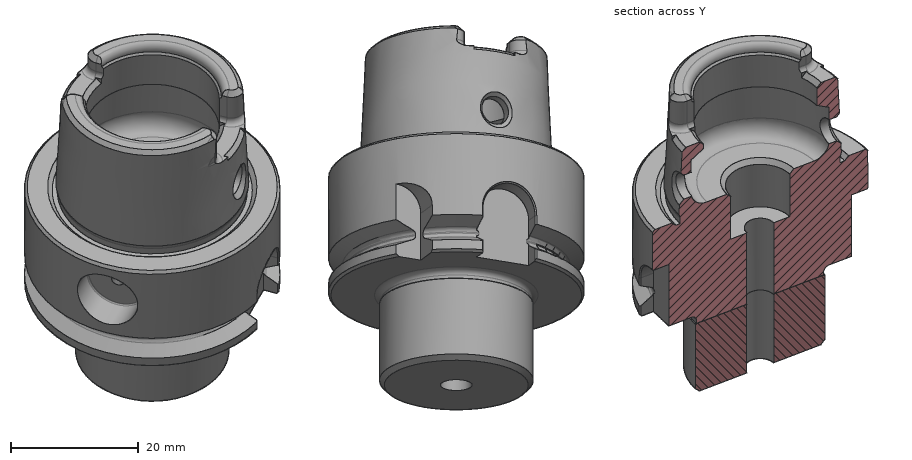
import cadquery as cq
import math

total_height = 54.9
neck_bottom_z = 13.4
flange_bottom_z = 15.0
flange_top_z = 34.95
taper_start_z = 36.05
bore_floor_z = 36.5
lip_bottom_z = 47.1
tube_seat_z = 27.45

shank_radius = 12.0
shank_chamfer = 0.75
coolant_radius = 2.45

flange_radius = 20.0
flange_top_chamfer = 0.45
flange_bottom_chamfer = 0.4
neck_radius = 11.8
neck_fillet = 1.0

groove_z = 19.0
groove_width = 4.15
groove_flank_angle = math.radians(30)
groove_radius = 17.4
groove_fillet = 0.9

relief_outer_radius = 16.35
relief_bevel = 0.7
relief_inner_radius = 14.9
relief_top_z = 35.35

taper_base_radius = 15.1
taper_tip_radius = 14.2
rim_chamfer_height = 0.6
rim_outer_radius = 13.5
rim_inner_radius = 12.1

mouth_fillet = 1.25
mouth_chamfer = 0.35
lip_radius = rim_inner_radius - mouth_fillet - mouth_chamfer
clamp_radius = 12.75
clamp_shoulder_angle = math.radians(30)
clamp_shoulder_height = (clamp_radius - lip_radius) * math.tan(clamp_shoulder_angle)
bore_floor_fillet = 2.8
tube_seat_radius = 5.45
tube_seat_chamfer = 0.75

drive_half_width = 4.0
drive_flat_x = 12.95
drive_flat_y = 6.25
drive_back_x = 11.15
drive_back_y = 9.9
drive_corner_radius = 2.0
drive_fillet = 1.0
drive_top_chamfer = 0.8
drive_outer_radius = 13.85
drive_bevel_half_width = 3.5
drive_inner_radius = 11.25
drive_floors = {-1: 51.35, 1: 48.75}

cross_hole_z = 41.05
cross_hole_radius = 2.3
countersink_radius = 2.95
countersink_x = 14.8

slot_half_width = 4.5
slot_top_z = 27.0
slot_floor_x = 16.9
slot_edge_chamfer = 0.2
notch_radius = 4.2
notch_center_y = 16.05
notch_floor_x = 11.9

chip_z = 28.0
chip_radius = 5.05
chip_depth = 5.0
chip_fillet = 0.2
dimple_radius = 1.05
dimple_half_angle = math.radians(59)
dimple_depth = dimple_radius / math.tan(dimple_half_angle)

clearance = 2.75


def revolve_profile(profile):
    """Turn a closed radius/height outline about the Z axis."""
    return profile.close().revolve(360, (0, 0, 0), (0, 1, 0))


def outer_form():
    """Solid of revolution bounded by the outer contour of the holder."""
    groove_depth = flange_radius - groove_radius
    half_root = groove_width / 2 - groove_depth * math.tan(groove_flank_angle)
    tangent = groove_fillet * math.tan((math.pi / 2 - groove_flank_angle) / 2)
    flank_radius = groove_radius + tangent * math.cos(groove_flank_angle)
    flank_half = half_root + tangent * math.sin(groove_flank_angle)
    return revolve_profile(
        cq.Workplane("XZ")
        .moveTo(0, neck_bottom_z)
        .lineTo(neck_radius, neck_bottom_z)
        .lineTo(neck_radius, flange_bottom_z - neck_fillet)
        .radiusArc((neck_radius + neck_fillet, flange_bottom_z), neck_fillet)
        .lineTo(flange_radius - flange_bottom_chamfer, flange_bottom_z)
        .lineTo(flange_radius, flange_bottom_z + flange_bottom_chamfer)
        .lineTo(flange_radius, groove_z - groove_width / 2)
        .lineTo(flank_radius, groove_z - flank_half)
        .radiusArc((groove_radius, groove_z - half_root + tangent), groove_fillet)
        .lineTo(groove_radius, groove_z + half_root - tangent)
        .radiusArc((flank_radius, groove_z + flank_half), groove_fillet)
        .lineTo(flange_radius, groove_z + groove_width / 2)
        .lineTo(flange_radius, flange_top_z - flange_top_chamfer)
        .lineTo(flange_radius - flange_top_chamfer, flange_top_z)
        .lineTo(relief_outer_radius, flange_top_z)
        .lineTo(relief_outer_radius - relief_bevel, flange_top_z - relief_bevel)
        .lineTo(relief_inner_radius, flange_top_z - relief_bevel)
        .lineTo(relief_inner_radius, relief_top_z)
        .lineTo(taper_base_radius, taper_start_z)
        .lineTo(taper_tip_radius, total_height - rim_chamfer_height)
        .lineTo(rim_outer_radius, total_height)
        .lineTo(0, total_height)
    )


def bore_form():
    """Solid of revolution that hollows the holder."""
    return revolve_profile(
        cq.Workplane("XZ")
        .moveTo(0, neck_bottom_z - clearance)
        .lineTo(coolant_radius, neck_bottom_z - clearance)
        .lineTo(coolant_radius, tube_seat_z)
        .lineTo(tube_seat_radius, tube_seat_z)
        .lineTo(tube_seat_radius, bore_floor_z - tube_seat_chamfer)
        .lineTo(tube_seat_radius + tube_seat_chamfer, bore_floor_z)
        .lineTo(clamp_radius - bore_floor_fillet, bore_floor_z)
        .radiusArc((clamp_radius, bore_floor_z + bore_floor_fillet), -bore_floor_fillet)
        .lineTo(clamp_radius, lip_bottom_z - clamp_shoulder_height)
        .lineTo(lip_radius, lip_bottom_z)
        .lineTo(lip_radius, total_height - mouth_fillet - mouth_chamfer)
        .lineTo(lip_radius + mouth_chamfer, total_height - mouth_fillet)
        .radiusArc((rim_inner_radius, total_height), mouth_fillet)
        .lineTo(rim_inner_radius, total_height + clearance)
        .lineTo(0, total_height + clearance)
    )


def drive_plan(z):
    """Plan outline of the +X drive slot: a channel that opens out past the lobe flats."""
    inner_x = lip_radius / 2
    outer_x = taper_base_radius + clearance
    corner_x = drive_flat_x - drive_corner_radius
    corner_y = drive_half_width + drive_corner_radius
    return (
        cq.Workplane("XY", origin=(0, 0, z))
        .moveTo(inner_x, -drive_half_width)
        .lineTo(corner_x, -drive_half_width)
        .radiusArc((drive_flat_x, -corner_y), drive_corner_radius)
        .lineTo(drive_flat_x, -drive_flat_y)
        .lineTo(drive_back_x, -drive_back_y)
        .lineTo(outer_x, -drive_back_y)
        .lineTo(outer_x, drive_back_y)
        .lineTo(drive_back_x, drive_back_y)
        .lineTo(drive_flat_x, drive_flat_y)
        .lineTo(drive_flat_x, corner_y)
        .radiusArc((corner_x, drive_half_width), drive_corner_radius)
        .lineTo(inner_x, drive_half_width)
        .close()
    )


def drive_floor_bevels(floor_z):
    """Cutting rings that bevel the inner and outer edges of the +X slot floor."""
    bevel = (
        cq.Workplane("XZ")
        .moveTo(drive_inner_radius, floor_z)
        .lineTo(drive_inner_radius - clearance, floor_z - clearance)
        .lineTo(drive_inner_radius - clearance, floor_z + drive_fillet)
        .lineTo(drive_inner_radius + drive_fillet, floor_z + drive_fillet)
        .close()
        .moveTo(drive_outer_radius, floor_z)
        .lineTo(drive_outer_radius + clearance, floor_z - clearance)
        .lineTo(drive_outer_radius + clearance, floor_z + drive_fillet)
        .lineTo(drive_outer_radius - drive_fillet, floor_z + drive_fillet)
        .close()
        .revolve(360, (0, 0, 0), (0, 1, 0))
    )
    channel = cq.Workplane("XY").box(
        2 * taper_base_radius, 2 * drive_bevel_half_width, 2 * total_height, centered=(False, True, True)
    )
    return bevel.intersect(channel)


def cut_drive_slot(body, side, floor_z):
    """Cut one drive slot into the taper end, on the +X or -X side."""
    chamfer_z = total_height - drive_top_chamfer
    channel = drive_plan(floor_z).extrude(total_height + clearance - floor_z)
    channel = channel.faces("<Z").edges().fillet(drive_fillet)
    flare = drive_plan(chamfer_z).extrude(2 * drive_top_chamfer, taper=-45)
    turn = 0 if side > 0 else 180
    for cutter in (channel, drive_floor_bevels(floor_z), flare):
        body = body.cut(cutter.rotate((0, 0, 0), (0, 0, 1), turn))
    return body


def cross_hole():
    """Hole along X through both taper walls, countersunk at both ends."""
    depth = countersink_radius - cross_hole_radius
    mouth = countersink_radius + clearance
    half = (
        cq.Workplane("XY")
        .moveTo(0, 0)
        .lineTo(0, cross_hole_radius)
        .lineTo(countersink_x - depth, cross_hole_radius)
        .lineTo(countersink_x + clearance, mouth)
        .lineTo(countersink_x + clearance, 0)
        .close()
        .revolve(360, (0, 0, 0), (1, 0, 0))
    )
    return half.union(half.mirror("YZ")).translate((0, 0, cross_hole_z))


def round_top_slot(center_y, half_width, top_z, floor_x):
    """Slot cut from the +X side, open at the bottom and round at the top."""
    depth = flange_radius + clearance - floor_x
    bottom_z = flange_bottom_z
    arc_z = top_z - half_width
    return (
        cq.Workplane("YZ", origin=(floor_x, 0, 0))
        .moveTo(center_y - half_width, bottom_z)
        .lineTo(center_y - half_width, arc_z)
        .threePointArc((center_y, top_z), (center_y + half_width, arc_z))
        .lineTo(center_y + half_width, bottom_z)
        .close()
        .extrude(depth)
    )


def break_slot_edges(body):
    """Chamfer the flange slots where they meet the flange cylinder."""
    edge_x = math.sqrt(flange_radius**2 - slot_half_width**2)
    inset = 0.1
    for side in (-1, 1):
        rim_zone = cq.selectors.BoxSelector(
            (side * (edge_x - inset), -slot_half_width - inset, flange_bottom_z),
            (side * (flange_radius + inset), slot_half_width + inset, slot_top_z + inset),
        )
        body = body.edges(rim_zone).chamfer(slot_edge_chamfer)
    return body


def chip_hole():
    """Flat-bottomed hole from the -Y side with a conical dimple in its floor."""
    floor_y = chip_depth - flange_radius
    hole = (
        cq.Workplane("XZ", origin=(0, floor_y, chip_z))
        .circle(chip_radius)
        .extrude(chip_depth + clearance)
        .faces(">Y")
        .edges()
        .fillet(chip_fillet)
    )
    dimple = cq.Solid.makeCone(
        dimple_radius, 0, dimple_depth, pnt=cq.Vector(0, floor_y, chip_z), dir=cq.Vector(0, 1, 0)
    )
    return hole.union(cq.Workplane(dimple))


def make_holder():
    holder = outer_form().cut(bore_form())
    for side, floor_z in drive_floors.items():
        holder = cut_drive_slot(holder, side, floor_z)
    holder = holder.cut(cross_hole())
    flange_slot = round_top_slot(0, slot_half_width, slot_top_z, slot_floor_x)
    holder = holder.cut(flange_slot).cut(flange_slot.mirror("YZ"))
    holder = break_slot_edges(holder)
    notch = round_top_slot(notch_center_y, notch_radius, slot_top_z, notch_floor_x)
    holder = holder.cut(notch.mirror("YZ"))
    return holder.cut(chip_hole())


def make_shank():
    return (
        cq.Workplane("XY")
        .circle(shank_radius)
        .extrude(neck_bottom_z)
        .faces("<Z")
        .edges()
        .chamfer(shank_chamfer)
        .cut(cq.Workplane("XY").circle(coolant_radius).extrude(neck_bottom_z))
    )


holder = make_holder()
shank = make_shank()

result = cq.Compound.makeCompound([holder.val(), shank.val()])